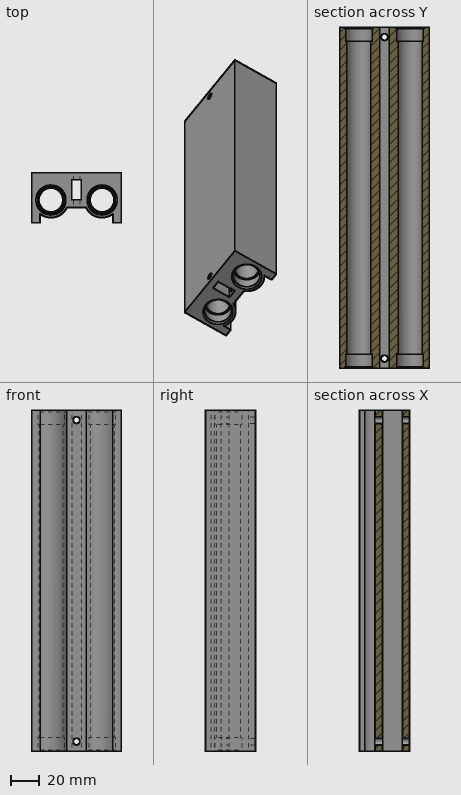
import cadquery as cq

length = 238.0
width = 62.5
depth = 35.0

bore_offset = 17.8
bore_y = 16.0
bore_radius = 8.3
wall_radius = 12.4

port_radius = 9.3
port_depth = 10.0
port_chamfer = 1.2

leg_width = 6.0
web_front_y = 10.7

channel_width = 6.5
channel_depth = 13.8
channel_back_wall = 5.0

hole_radius = 2.25
hole_end_distance = 7.0


def make_body():
    """Block with a front recess that leaves the rounded bore walls standing."""
    block = cq.Workplane("XY").box(width, depth, length, centered=(True, False, False))
    recess = cq.Workplane("XY").box(
        width - 2 * leg_width, web_front_y, length, centered=(True, False, False)
    )
    walls = (
        cq.Workplane("XY")
        .pushPoints([(-bore_offset, bore_y), (bore_offset, bore_y)])
        .circle(wall_radius)
        .extrude(length)
    )
    return block.cut(recess.cut(walls))


def make_bore(x):
    """Through bore with a wider, chamfered port at both ends."""
    port_floor = length - port_depth
    chamfer_start = length - port_chamfer
    mouth_radius = port_radius + port_chamfer
    profile = (
        cq.Workplane("XZ")
        .moveTo(0, 0)
        .lineTo(mouth_radius, 0)
        .lineTo(port_radius, port_chamfer)
        .lineTo(port_radius, port_depth)
        .lineTo(bore_radius, port_depth)
        .lineTo(bore_radius, port_floor)
        .lineTo(port_radius, port_floor)
        .lineTo(port_radius, chamfer_start)
        .lineTo(mouth_radius, length)
        .lineTo(0, length)
        .close()
    )
    return profile.revolve(360, (0, 0), (0, 1)).translate((x, bore_y, 0))


def make_channel():
    """Rectangular channel open at both ends."""
    channel_centre_y = depth - channel_back_wall - channel_depth / 2
    return (
        cq.Workplane("XY")
        .center(0, channel_centre_y)
        .rect(channel_width, channel_depth)
        .extrude(length)
    )


def make_mounting_holes():
    """Holes from front to back on the centre line."""
    return (
        cq.Workplane("XZ")
        .pushPoints([(0, hole_end_distance), (0, length - hole_end_distance)])
        .circle(hole_radius)
        .extrude(-depth)
    )


result = make_body()
for bore_x in (-bore_offset, bore_offset):
    result = result.cut(make_bore(bore_x))
result = result.cut(make_channel())
result = result.cut(make_mounting_holes())